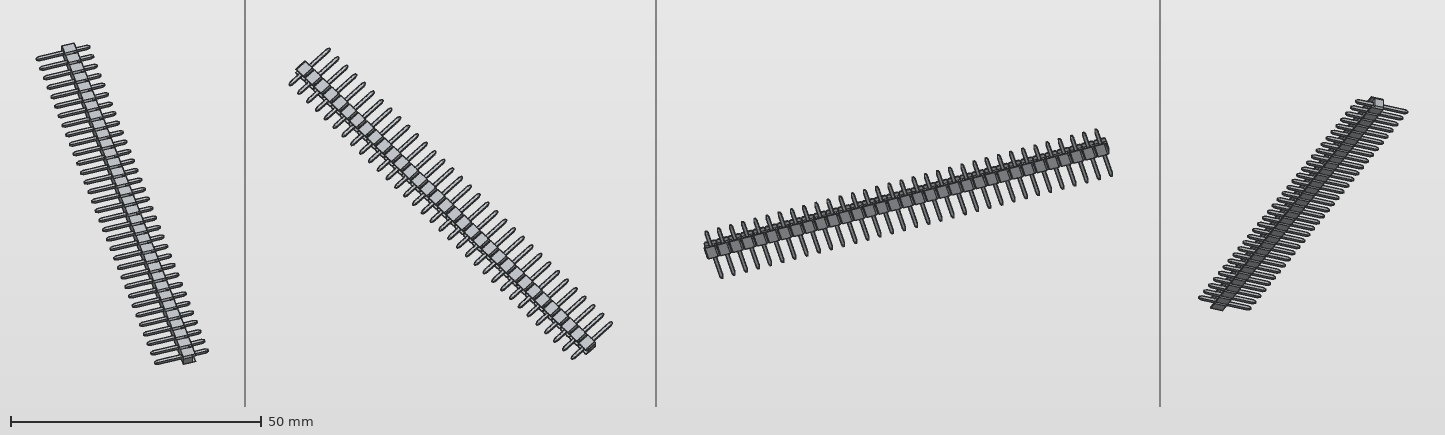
import cadquery as cq

PITCH = 2.54
PIN_COUNT = 33
ROW_LENGTH = PIN_COUNT * PITCH

PIN_WIDTH = 0.64
PIN_LENGTH = 11.2
TIP_LENGTH = 0.55
TIP_WIDTH = PIN_WIDTH / 2
TAIL_LENGTH = 3.0
PIN_SHIFT = -0.1

BODY_HEIGHT = 2.5
BODY_DEPTH = 2.54

CHAMFER_X = 0.3
CHAMFER_Z = 0.4

CHANNEL_DEPTH = 0.7
LIP_THICKNESS = 0.33

PIN_REAR = PIN_LENGTH / 2
PIN_FRONT = -PIN_LENGTH / 2
BODY_REAR = PIN_REAR - TAIL_LENGTH


def block_centre(index):
    """X of the middle of one block."""
    return (index - (PIN_COUNT - 1) / 2) * PITCH


def make_block(x):
    """Eight-sided block with chamfered long corners, running along Y."""
    half_width = PITCH / 2
    half_height = BODY_HEIGHT / 2
    flat_x = half_width - CHAMFER_X
    flat_z = half_height - CHAMFER_Z
    outline = [
        (-half_width, -flat_z),
        (-flat_x, -half_height),
        (flat_x, -half_height),
        (half_width, -flat_z),
        (half_width, flat_z),
        (flat_x, half_height),
        (-flat_x, half_height),
        (-half_width, flat_z),
    ]
    return cq.Workplane("XZ", origin=(x, BODY_REAR, 0)).polyline(outline).close().extrude(BODY_DEPTH)


def make_channel():
    """Channel along the whole row that leaves a lip above and below the pins."""
    return (
        cq.Workplane("XY")
        .box(ROW_LENGTH, CHANNEL_DEPTH, BODY_HEIGHT - 2 * LIP_THICKNESS)
        .translate((0, BODY_REAR - CHANNEL_DEPTH / 2, 0))
    )


def make_tip(x, y_base, y_end):
    """Pyramid-shaped pin tip narrowing from y_base to y_end."""
    return (
        cq.Workplane("XZ", origin=(x, y_base, 0))
        .rect(PIN_WIDTH, PIN_WIDTH)
        .workplane(offset=y_base - y_end)
        .rect(TIP_WIDTH, TIP_WIDTH)
        .loft(ruled=True)
    )


def make_pin(x):
    """Straight square pin with a tapered tip at both ends."""
    front_shoulder = PIN_FRONT + TIP_LENGTH
    rear_shoulder = PIN_REAR - TIP_LENGTH
    shank = (
        cq.Workplane("XZ", origin=(x, rear_shoulder, 0))
        .rect(PIN_WIDTH, PIN_WIDTH)
        .extrude(rear_shoulder - front_shoulder)
    )
    front_tip = make_tip(x, front_shoulder, PIN_FRONT)
    rear_tip = make_tip(x, rear_shoulder, PIN_REAR)
    return shank.union(front_tip).union(rear_tip)


centres = [block_centre(index) for index in range(PIN_COUNT)]

body = make_block(centres[0])
for centre in centres[1:]:
    body = body.union(make_block(centre))
body = body.cut(make_channel())

result = body
for centre in centres:
    result = result.union(make_pin(centre + PIN_SHIFT))